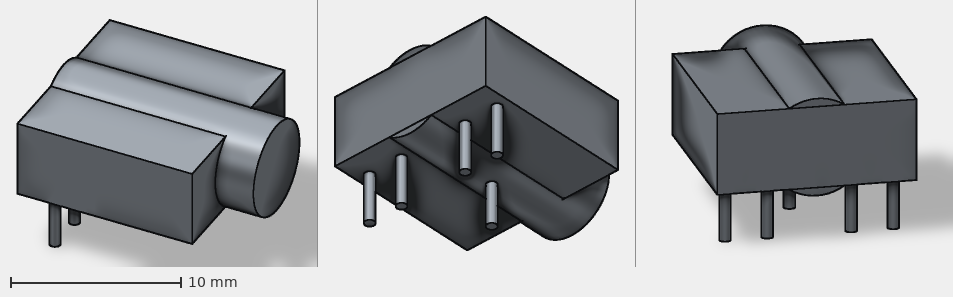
import cadquery as cq

barrel_length = 14.0
barrel_diameter = 6.0
housing_length = 11.5
housing_width = 12.0
housing_height = 5.0
overall_height = 9.0
pin_diameter = 0.7
pin_pitch = 2.53
rear_pin_x = 2.0

housing_bottom_z = -housing_height / 2
pin_bottom_z = barrel_diameter / 2 - overall_height
pin_length = housing_bottom_z - pin_bottom_z
centre_pin_x = rear_pin_x + 2 * pin_pitch

centre_pin_place = (centre_pin_x, 0)
rear_pin_places = [(rear_pin_x, step * pin_pitch) for step in (-2, -1, 1, 2)]


def make_housing():
    """Plain rectangular block that fills the middle of the barrel."""
    return cq.Workplane("XY").box(
        housing_length, housing_width, housing_height, centered=(False, True, True)
    )


def make_pin(place):
    """Round pin whose top end meets the underside of the housing."""
    return (
        cq.Workplane("XY", origin=(0, 0, pin_bottom_z))
        .center(*place)
        .circle(pin_diameter / 2)
        .extrude(pin_length)
    )


def make_barrel(housing, centre_pin):
    """Round barrel, slotted to straddle the housing and drilled for the centre pin."""
    cylinder = cq.Workplane("YZ").circle(barrel_diameter / 2).extrude(barrel_length)
    return cylinder.cut(housing).cut(centre_pin)


housing = make_housing()
centre_pin = make_pin(centre_pin_place)
rear_pins = [make_pin(place) for place in rear_pin_places]
barrel = make_barrel(housing, centre_pin)

result = cq.Compound.makeCompound(
    [housing.val(), barrel.val(), centre_pin.val(), *[pin.val() for pin in rear_pins]]
)